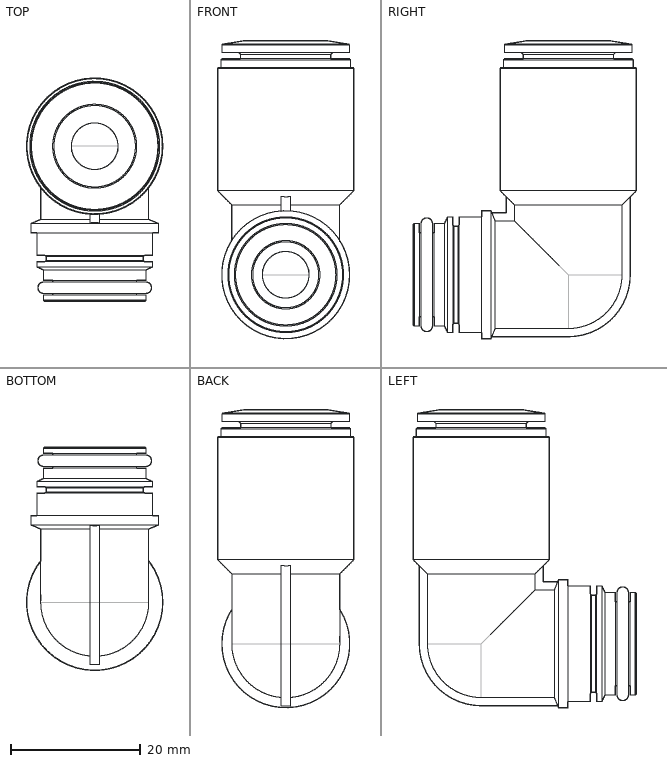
import cadquery as cq
import math


ELBOW_RADIUS = 16.7 / 2
PASSAGE_RADIUS = 7.2 / 2

SOCKET_RADIUS = 21.1 / 2
COLLAR_RADIUS = 20.1 / 2
NECK_RADIUS = 14.0 / 2
RELEASE_DISC_RADIUS = 19.75 / 2
TUBE_BORE_RADIUS = 12.6 / 2
TUBE_MOUTH_RADIUS = 13.0 / 2

TOP_Z = 36.18
SOCKET_TAPER_TOP_Z = 13.0
SOCKET_TOP_Z = 32.0
COLLAR_TOP_Z = 33.4
RELEASE_DISC_BOTTOM_Z = 34.35
RELEASE_DISC_RIM_Z = 35.65
TUBE_STOP_Z = 13.0

FLANGE_RADIUS = 19.8 / 2
SHOULDER_RADIUS = 17.9 / 2
CLIP_GROOVE_RADIUS = 15.05 / 2
NOSE_RADIUS = 15.9 / 2
RING_GROOVE_RADIUS = 13.0 / 2
PORT_BORE_RADIUS = 10.2 / 2

PLUG_LENGTH = 24.0
FLANGE_CONE_START = 11.3
FLANGE_START = 11.95
FLANGE_END = 13.4
CLIP_GROOVE_START = 16.88
CLIP_GROOVE_END = 17.85
SHOULDER_END = 18.65
NOSE_START = 19.15
RING_GROOVE_START = 20.75
RING_GROOVE_END = 23.0
PORT_BORE_END = 10.0
PORT_CONE_HALF_ANGLE = 30.0

RING_OUTER_RADIUS = 17.6 / 2
RING_SECTION_RADIUS = 1.8 / 2

RIB_THICKNESS = 1.5
RIB_REACH = 9.6

EDGE_CHAMFER = 0.2
FINE_CHAMFER = 0.1
NECK_CHAMFER = 0.3


def revolve_profile(points):
    """Solid turned about Z from a closed outline of (radius, height) points."""
    return cq.Workplane("XZ").polyline(points).close().revolve(360, (0, 0, 0), (0, 1, 0))


def along_plug(solid):
    """Turn a solid built along +Z so that it lies along the plug axis, -Y."""
    return solid.rotate((0, 0, 0), (1, 0, 0), 90)


def bent_core(radius, socket_end, plug_end):
    """Two round bars meeting at right angles, with a ball at the corner."""
    upright = cq.Workplane("XY").circle(radius).extrude(socket_end)
    level = along_plug(cq.Workplane("XY").circle(radius).extrude(plug_end))
    return upright.union(level).union(cq.Workplane("XY").sphere(radius))


def socket_outside():
    taper_bottom_z = SOCKET_TAPER_TOP_Z - (SOCKET_RADIUS - ELBOW_RADIUS)
    return revolve_profile([
        (0, taper_bottom_z),
        (ELBOW_RADIUS, taper_bottom_z),
        (SOCKET_RADIUS, SOCKET_TAPER_TOP_Z),
        (SOCKET_RADIUS, SOCKET_TOP_Z - FINE_CHAMFER),
        (SOCKET_RADIUS - FINE_CHAMFER, SOCKET_TOP_Z),
        (COLLAR_RADIUS, SOCKET_TOP_Z),
        (COLLAR_RADIUS, COLLAR_TOP_Z - EDGE_CHAMFER),
        (COLLAR_RADIUS - EDGE_CHAMFER, COLLAR_TOP_Z),
        (NECK_RADIUS, COLLAR_TOP_Z),
        (NECK_RADIUS, RELEASE_DISC_BOTTOM_Z - NECK_CHAMFER),
        (NECK_RADIUS + NECK_CHAMFER, RELEASE_DISC_BOTTOM_Z),
        (RELEASE_DISC_RADIUS, RELEASE_DISC_BOTTOM_Z),
        (RELEASE_DISC_RADIUS, RELEASE_DISC_RIM_Z - FINE_CHAMFER),
        (RELEASE_DISC_RADIUS - FINE_CHAMFER, RELEASE_DISC_RIM_Z),
        (TUBE_MOUTH_RADIUS, TOP_Z),
        (0, TOP_Z),
    ])


def plug_outside():
    return along_plug(revolve_profile([
        (0, FLANGE_CONE_START),
        (ELBOW_RADIUS, FLANGE_CONE_START),
        (FLANGE_RADIUS, FLANGE_START),
        (FLANGE_RADIUS, FLANGE_END),
        (SHOULDER_RADIUS, FLANGE_END),
        (SHOULDER_RADIUS, CLIP_GROOVE_START),
        (CLIP_GROOVE_RADIUS + EDGE_CHAMFER, CLIP_GROOVE_START),
        (CLIP_GROOVE_RADIUS, CLIP_GROOVE_START + EDGE_CHAMFER),
        (CLIP_GROOVE_RADIUS, CLIP_GROOVE_END - EDGE_CHAMFER),
        (CLIP_GROOVE_RADIUS + EDGE_CHAMFER, CLIP_GROOVE_END),
        (SHOULDER_RADIUS, CLIP_GROOVE_END),
        (SHOULDER_RADIUS, SHOULDER_END),
        (NOSE_RADIUS, NOSE_START),
        (NOSE_RADIUS, RING_GROOVE_START),
        (RING_GROOVE_RADIUS, RING_GROOVE_START),
        (RING_GROOVE_RADIUS, RING_GROOVE_END),
        (NOSE_RADIUS, RING_GROOVE_END),
        (NOSE_RADIUS, PLUG_LENGTH - EDGE_CHAMFER),
        (NOSE_RADIUS - EDGE_CHAMFER, PLUG_LENGTH),
        (0, PLUG_LENGTH),
    ]))


def sealing_ring():
    """Round-crowned ring in the middle of its groove, seated on the groove floor."""
    middle = (RING_GROOVE_START + RING_GROOVE_END) / 2
    crown_centre = RING_OUTER_RADIUS - RING_SECTION_RADIUS
    near = middle - RING_SECTION_RADIUS
    far = middle + RING_SECTION_RADIUS
    ring = (
        cq.Workplane("XZ")
        .moveTo(0, near)
        .lineTo(crown_centre, near)
        .threePointArc((RING_OUTER_RADIUS, middle), (crown_centre, far))
        .lineTo(0, far)
        .close()
        .revolve(360, (0, 0, 0), (0, 1, 0))
    )
    return along_plug(ring)


def bend_rib():
    """Flat web that follows the bend: round on the outside, square on the inside."""
    return (
        cq.Workplane("YZ")
        .moveTo(RIB_REACH, 0)
        .lineTo(RIB_REACH, SOCKET_TAPER_TOP_Z)
        .lineTo(-RIB_REACH, SOCKET_TAPER_TOP_Z)
        .lineTo(-RIB_REACH, RIB_REACH)
        .lineTo(-FLANGE_START, RIB_REACH)
        .lineTo(-FLANGE_START, -RIB_REACH)
        .lineTo(0, -RIB_REACH)
        .radiusArc((RIB_REACH, 0), -RIB_REACH)
        .close()
        .extrude(RIB_THICKNESS / 2, both=True)
    )


def tube_bore():
    mouth_z = TOP_Z - (TUBE_MOUTH_RADIUS - TUBE_BORE_RADIUS)
    return revolve_profile([
        (0, TUBE_STOP_Z),
        (TUBE_BORE_RADIUS, TUBE_STOP_Z),
        (TUBE_BORE_RADIUS, mouth_z),
        (TUBE_MOUTH_RADIUS, TOP_Z),
        (0, TOP_Z),
    ])


def port_bore():
    """Plug bore that narrows through a cone into the passage."""
    cone_slope = math.tan(math.radians(PORT_CONE_HALF_ANGLE))
    cone_end = PORT_BORE_END - (PORT_BORE_RADIUS - PASSAGE_RADIUS) / cone_slope
    return along_plug(revolve_profile([
        (0, cone_end),
        (PASSAGE_RADIUS, cone_end),
        (PORT_BORE_RADIUS, PORT_BORE_END),
        (PORT_BORE_RADIUS, PLUG_LENGTH - EDGE_CHAMFER),
        (PORT_BORE_RADIUS + EDGE_CHAMFER, PLUG_LENGTH),
        (0, PLUG_LENGTH),
    ]))


outside = (
    bent_core(ELBOW_RADIUS, SOCKET_TAPER_TOP_Z, FLANGE_START)
    .union(bend_rib())
    .union(socket_outside())
    .union(plug_outside())
    .union(sealing_ring())
)
passage = bent_core(PASSAGE_RADIUS, TUBE_STOP_Z, PORT_BORE_END)
result = outside.cut(passage).cut(tube_bore()).cut(port_bore())